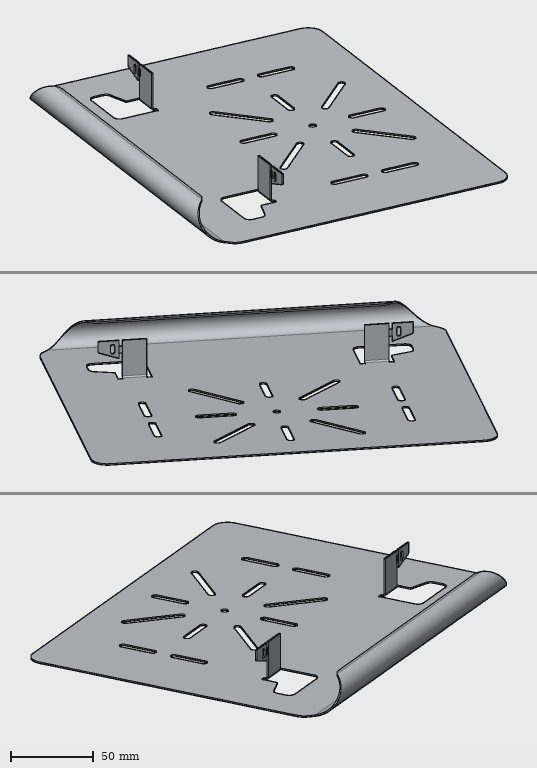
import cadquery as cq
import math


sheet = 1.0
width = 250.0
half_width = width / 2
depth = 206.0
rear_y = 70.0
corner_radius = 10.0
cut_depth = 4 * sheet

roll_outer_radius = 9.0
roll_inner_radius = roll_outer_radius - sheet
roll_neutral_radius = (roll_outer_radius + roll_inner_radius) / 2
roll_y = rear_y - depth + roll_outer_radius
roll_length = math.pi * roll_neutral_radius
lip_flat_length = 1.8
corner_cut = 6.0
corner_angle = math.pi / 4
cutter_margin = 2.5
line_samples = 24
arc_samples = 16

slot_width = 4.5
pattern_inner_radius = 25.0
cross_outer_radius = 50.0
diagonal_outer_radius = 65.0
side_slot_x = 78.0
side_slot_length = 25.0
side_slot_y = 17.5

tab_inner_x = 67.0
tab_outer_x = 97.0
tab_height = 25.0
tab_bend_y = -72.5
tab_bend_radius = 1.0
tab_rear_y = tab_bend_y - tab_bend_radius
tab_front_y = tab_rear_y - sheet
post_outer_x = 82.0
lug_inner_x = 84.0
lug_root_z = 13.2
lug_tip_z = 17.8
lug_corner_radius = 1.5
bridge_bottom_z = 16.8
bridge_top_z = 21.2
bridge_thickness = sheet / 2
lug_slot_x = 88.0
lug_slot_width = 2.5
lug_slot_bottom_z = 16.5
lug_slot_top_z = 22.5

tab_clearance = 3.0
opening_inner_x = tab_inner_x - tab_clearance
opening_outer_x = tab_outer_x + tab_clearance
opening_rear_y = -71.5
opening_step_x = 85.0
opening_step_y = -82.2
opening_shoulder_y = -87.2
opening_front_y = -100.2
opening_radius = 4.0


def mirrored_pair(shape):
    """The shape together with its mirror image across the YZ plane."""
    return shape.union(shape.mirror("YZ"))


def make_plate():
    chamfer_start_y = roll_y + corner_cut
    outline = [
        (-half_width, rear_y),
        (half_width, rear_y),
        (half_width, chamfer_start_y),
        (half_width - corner_cut, roll_y),
        (corner_cut - half_width, roll_y),
        (-half_width, chamfer_start_y),
    ]
    plate = cq.Workplane("XY").polyline(outline).close().extrude(sheet)
    rounded_edges = plate.edges("|Z").edges("not <Y")
    return rounded_edges.fillet(corner_radius)


def rolled_point(x, distance, radius):
    """Place a point of the flat sheet, given its distance past the roll start, on the rolled lip."""
    angle = min(distance / roll_neutral_radius, math.pi)
    straight = max(distance - roll_length, 0)
    y = roll_y - radius * math.sin(angle) + straight
    z = roll_outer_radius - radius * math.cos(angle)
    return cq.Vector(x, y, z)


def make_corner_cutter(flat_path, samples):
    """Solid outboard of a flat-sheet path after rolling; flat_path(t) gives x and distance, t from 0 to 1."""
    edges = []
    for radius in (roll_inner_radius - cutter_margin, roll_outer_radius + cutter_margin):
        points = []
        for i in range(samples + 1):
            x, distance = flat_path(i / samples)
            points.append(rolled_point(x, distance, radius))
        edges.append(cq.Edge.makeSpline(points))
    cut_face = cq.Face.makeRuledSurface(edges[0], edges[1])
    return cq.Workplane(cq.Solid.extrudeLinear(cut_face, cq.Vector(half_width, 0, 0)))


def make_rolled_lip():
    lip_end_y = roll_y + lip_flat_length
    lip_top_z = 2 * roll_outer_radius
    profile = (
        cq.Workplane("YZ", origin=(-half_width, 0, 0))
        .moveTo(roll_y, 0)
        .threePointArc((roll_y - roll_outer_radius, roll_outer_radius), (roll_y, lip_top_z))
        .lineTo(lip_end_y, lip_top_z)
        .lineTo(lip_end_y, lip_top_z - sheet)
        .lineTo(roll_y, lip_top_z - sheet)
        .threePointArc((roll_y - roll_inner_radius, roll_outer_radius), (roll_y, sheet))
        .close()
    )
    lip = profile.extrude(width)

    edge_distance = roll_length + lip_flat_length
    start_x = half_width - corner_cut
    arc_drop = corner_radius * (1 - math.cos(corner_angle))
    line_end = edge_distance - arc_drop
    arc_centre_x = start_x - line_end - corner_radius * math.sin(corner_angle)
    arc_centre_distance = edge_distance - corner_radius

    def corner_line(t):
        return start_x - t * line_end, t * line_end

    def corner_arc(t):
        angle = corner_angle * (1 - t)
        x = arc_centre_x + corner_radius * math.sin(angle)
        return x, arc_centre_distance + corner_radius * math.cos(angle)

    for path, samples in ((corner_line, line_samples), (corner_arc, arc_samples)):
        lip = lip.cut(mirrored_pair(make_corner_cutter(path, samples)))
    return lip


def make_slot(inner_radius, outer_radius, angle):
    """Radial slot cutter between two overall radii."""
    slot = cq.Workplane("XY").center((inner_radius + outer_radius) / 2, 0)
    slot = slot.slot2D(outer_radius - inner_radius, slot_width).extrude(cut_depth, both=True)
    return slot.rotate((0, 0, 0), (0, 0, 1), angle)


def cut_slots(plate):
    plate = plate.cut(cq.Workplane("XY").circle(slot_width / 2).extrude(cut_depth, both=True))
    for quarter in range(4):
        angle = 90 * quarter
        plate = plate.cut(make_slot(pattern_inner_radius, cross_outer_radius, angle))
        plate = plate.cut(make_slot(pattern_inner_radius, diagonal_outer_radius, angle + 45))
    side_slots = (
        cq.Workplane("XY")
        .rarray(2 * side_slot_x, 2 * side_slot_y, 2, 2)
        .slot2D(side_slot_length, slot_width, 90)
        .extrude(cut_depth, both=True)
    )
    return plate.cut(side_slots)


def make_opening():
    outline = [
        (opening_inner_x, opening_rear_y),
        (opening_step_x, opening_rear_y),
        (opening_step_x, opening_step_y),
        (opening_outer_x, opening_shoulder_y),
        (opening_outer_x, opening_front_y),
        (opening_inner_x, opening_front_y),
    ]
    opening = cq.Workplane("XY").polyline(outline).close().extrude(cut_depth, both=True)
    rounded_edges = opening.edges("|Z").edges("<Y or >X")
    return rounded_edges.fillet(opening_radius)


def make_post():
    """Root, bend and upright of the tab."""
    bend_centre_z = sheet + tab_bend_radius
    outer_bend_radius = tab_bend_radius + sheet
    mid_bend = math.sqrt(0.5)
    profile = (
        cq.Workplane("YZ", origin=(tab_inner_x, 0, 0))
        .moveTo(opening_rear_y, 0)
        .lineTo(tab_bend_y, 0)
        .threePointArc(
            (tab_bend_y - outer_bend_radius * mid_bend, bend_centre_z - outer_bend_radius * mid_bend),
            (tab_front_y, bend_centre_z),
        )
        .lineTo(tab_front_y, tab_height)
        .lineTo(tab_rear_y, tab_height)
        .lineTo(tab_rear_y, bend_centre_z)
        .threePointArc(
            (tab_bend_y - tab_bend_radius * mid_bend, bend_centre_z - tab_bend_radius * mid_bend),
            (tab_bend_y, sheet),
        )
        .lineTo(opening_rear_y, sheet)
        .close()
    )
    return profile.extrude(post_outer_x - tab_inner_x)


def make_lug():
    """Slotted outer end of the tab with its bridge to the post."""
    tab_plane = cq.Workplane("XZ", origin=(0, tab_rear_y, 0))
    outline = [
        (lug_inner_x, lug_root_z),
        (tab_outer_x, lug_tip_z),
        (tab_outer_x, tab_height),
        (lug_inner_x, tab_height),
    ]
    lug = tab_plane.polyline(outline).close().extrude(sheet)
    lug = lug.edges("|Y and >X").edges("<Z").fillet(lug_corner_radius)

    slot_length = lug_slot_top_z - lug_slot_bottom_z
    slot = (
        tab_plane.center(lug_slot_x, (lug_slot_bottom_z + lug_slot_top_z) / 2)
        .slot2D(slot_length, lug_slot_width, 90)
        .extrude(sheet)
    )
    bridge = (
        tab_plane.moveTo(post_outer_x, bridge_bottom_z)
        .lineTo(lug_inner_x, bridge_bottom_z)
        .lineTo(lug_inner_x, bridge_top_z)
        .lineTo(post_outer_x, bridge_top_z)
        .close()
        .extrude(bridge_thickness)
    )
    return lug.cut(slot).union(bridge)


plate = cut_slots(make_plate()).cut(mirrored_pair(make_opening()))
tab = make_post().union(make_lug())
result = plate.union(make_rolled_lip()).union(mirrored_pair(tab))